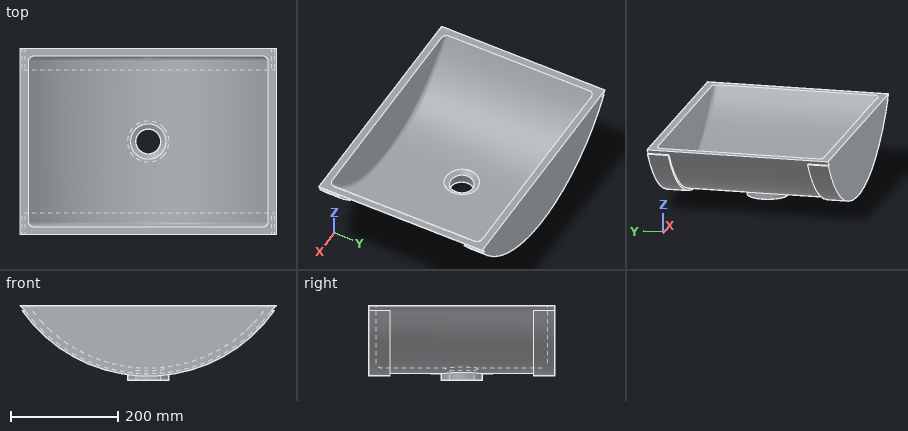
import cadquery as cq
import math

rim_length = 479.56
basin_width = 348.0
total_height = 140.0

floor_depth = 117.0
bowl_radius = 273.0
axis_height = bowl_radius - floor_depth
middle_wall = 10.5
end_band_wall = 15.0
end_band_width = 40.0
floor_fillet = 10.0

end_wall = 14.0
cavity_width = basin_width - 2 * end_wall

rim_height = 9.5

boss_diameter = 77.0
drain_diameter = 46.0
drain_mouth_width = 10.0
drain_mouth_depth = 5.0


def half_chord(radius, level):
    """Half the X width of a bowl cylinder at the height `level`."""
    return math.sqrt(radius**2 - (axis_height - level) ** 2)


def bowl_segment(radius, top, width, center_y=0.0):
    """Cylinder segment below the level `top`, `width` long in Y about center_y."""
    top_x = half_chord(radius, top)
    return (
        cq.Workplane("XZ", origin=(0, center_y, 0))
        .moveTo(-top_x, top)
        .threePointArc((0, axis_height - radius), (top_x, top))
        .close()
        .extrude(width / 2, both=True)
    )


def drain_cylinder(diameter, top):
    """Vertical cylinder on the drain axis, from the lowest level up to `top`."""
    return (
        cq.Workplane("XY", origin=(0, 0, -total_height))
        .circle(diameter / 2)
        .extrude(top + total_height)
    )


def make_rim():
    """Flat slab whose X sides slope inward down to the middle shell."""
    top_x = rim_length / 2
    bottom_x = half_chord(bowl_radius + middle_wall, -rim_height)
    return (
        cq.Workplane("XZ")
        .polyline([(-top_x, 0), (top_x, 0), (bottom_x, -rim_height), (-bottom_x, -rim_height)])
        .close()
        .extrude(basin_width / 2, both=True)
    )


def make_body():
    """Solid block of the rim, middle shell, thicker end bands and drain boss."""
    body = make_rim().union(bowl_segment(bowl_radius + middle_wall, -rim_height, basin_width))
    band_y = (basin_width - end_band_width) / 2
    for side in (-1, 1):
        band = bowl_segment(bowl_radius + end_band_wall, -rim_height, end_band_width, side * band_y)
        body = body.union(band)
    return body.union(drain_cylinder(boss_diameter, -floor_depth))


def make_cavity():
    """Inside of the bowl, rounded where the floor meets the end walls."""
    cavity = bowl_segment(bowl_radius, floor_fillet, cavity_width)
    return cavity.edges("%CIRCLE").fillet(floor_fillet)


def cut_drain(basin):
    """Drill the drain through the floor and chamfer its mouth along the curved floor."""
    drilled = basin.cut(drain_cylinder(drain_diameter, 0))
    boss_radius = boss_diameter / 2
    around_mouth = cq.selectors.BoxSelector(
        (-boss_radius, -boss_radius, -floor_depth),
        (boss_radius, boss_radius, 0),
    )
    return drilled.edges(around_mouth).chamfer(drain_mouth_width, drain_mouth_depth)


result = cut_drain(make_body().cut(make_cavity()))